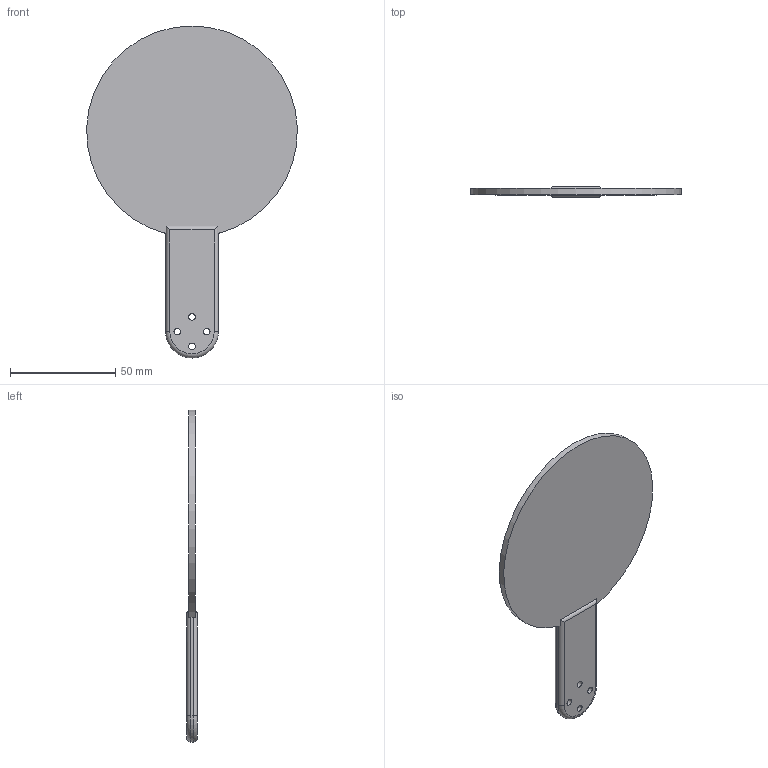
import cadquery as cq
import math

blade_diameter = 100.0
blade_thickness = 3.0

handle_width = 25.0
handle_thickness = 5.0
handle_visible_length = 50.0
handle_edge_radius = 2.0
blade_overlap = 5.0

hole_diameter = 3.1
hole_circle_diameter = 14.0
hole_count = 4

handle_step = (handle_thickness - blade_thickness) / 2
blade_face_in_fillet = handle_edge_radius - handle_step
sunk_top_height = handle_edge_radius - math.sqrt(handle_edge_radius**2 - blade_face_in_fillet**2)

handle_rise_z = -blade_diameter / 2 + blade_overlap
handle_top_z = handle_rise_z + sunk_top_height
handle_end_z = handle_rise_z - handle_visible_length


def make_blade():
    """Flat disc, centred on the XZ plane."""
    return cq.Workplane("XZ").circle(blade_diameter / 2).extrude(blade_thickness / 2, both=True)


def make_handle():
    """Round-ended bar with all the edges of its two faces rounded."""
    half_width = handle_width / 2
    bar = (
        cq.Workplane("XZ")
        .moveTo(-half_width, handle_top_z)
        .lineTo(half_width, handle_top_z)
        .lineTo(half_width, handle_end_z)
        .threePointArc((0, handle_end_z - half_width), (-half_width, handle_end_z))
        .close()
        .extrude(handle_thickness / 2, both=True)
    )
    return bar.faces("<Y or >Y").edges().fillet(handle_edge_radius)


def make_hole_cutters():
    """Pins through the full handle thickness, evenly spaced on the hole circle."""
    return (
        cq.Workplane("XZ")
        .center(0, handle_end_z)
        .polarArray(hole_circle_diameter / 2, 0, 360, hole_count)
        .circle(hole_diameter / 2)
        .extrude(handle_thickness, both=True)
    )


result = make_blade().union(make_handle()).cut(make_hole_cutters())